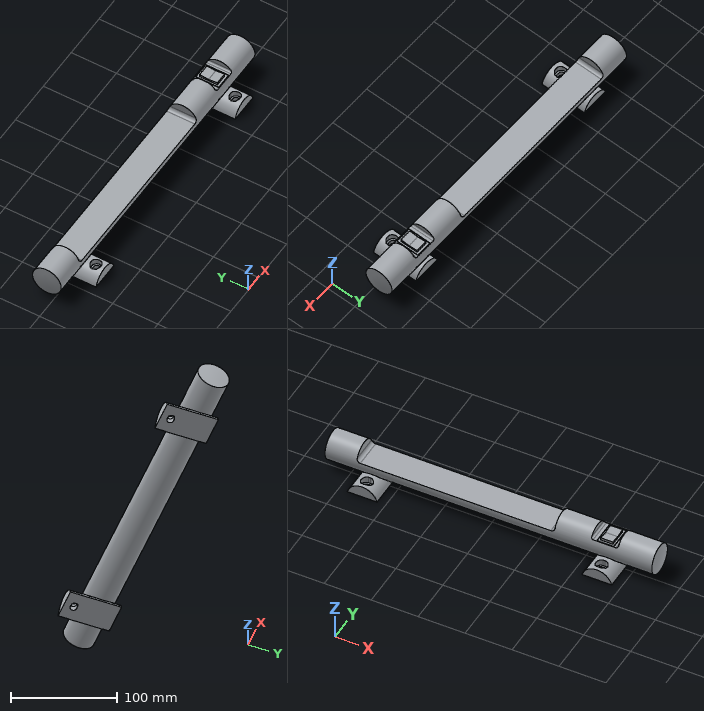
import cadquery as cq

total_length = 351.0
bar_diameter = 32.0
bar_radius = bar_diameter / 2
dome_rise = 1.5
bar_clearance = 4.2
bar_axis_z = bar_clearance + bar_radius

foot_width = 32.0
foot_height = 12.5
foot_front_y = -34.0
foot_length = 52.0
foot_inset = 50.5
foot_positions = (foot_inset, total_length - foot_inset)

slot_y = -24.2
slot_length = 8.8
slot_width = 6.3
counterbore_length = 12.5
counterbore_width = 10.5
counterbore_floor_z = 5.5

flat_start_x = 35.0
flat_end_x = 245.7
flat_z = 23.0
flat_fillet = 4.0

pocket_start_x = 283.5
pocket_end_x = 312.0
pocket_z = 28.5
pocket_fillet = 2.0
recess_length = 18.0
recess_width = 25.5
recess_depth = 0.7
rocker_length = 13.0
rocker_width = 19.5
rocker_end_z = 30.5
rocker_middle_z = 29.5
rocker_center_x = 298.5


def make_bar():
    """Round bar with a shallow dome on each end."""
    straight_end_x = total_length - dome_rise
    dome_radius = (bar_radius**2 + dome_rise**2) / (2 * dome_rise)
    mid_radius = bar_radius / 2
    mid_rise = (dome_radius**2 - mid_radius**2) ** 0.5 - (dome_radius - dome_rise)
    return (
        cq.Workplane("XZ")
        .moveTo(0, 0)
        .threePointArc((dome_rise - mid_rise, mid_radius), (dome_rise, bar_radius))
        .lineTo(straight_end_x, bar_radius)
        .threePointArc((straight_end_x + mid_rise, mid_radius), (total_length, 0))
        .close()
        .revolve(360, (0, 0, 0), (1, 0, 0))
        .translate((0, 0, bar_axis_z))
    )


def make_cross_cut(start_x, end_x, floor_z, fillet):
    """Cutter removing the top of the bar, with rounded corners along its floor."""
    return (
        cq.Workplane("XY", origin=((start_x + end_x) / 2, 0, floor_z))
        .rect(end_x - start_x, 2 * bar_diameter)
        .extrude(bar_diameter)
        .edges("<Z and |Y")
        .fillet(fillet)
    )


def make_foot(center_x):
    """Foot with an arched section running across the bar."""
    return (
        cq.Workplane("XZ", origin=(center_x, foot_front_y, 0))
        .moveTo(-foot_width / 2, 0)
        .threePointArc((0, foot_height), (foot_width / 2, 0))
        .close()
        .extrude(-foot_length)
    )


def make_foot_slot(center_x):
    """Cutter for an elongated mounting hole with a counterbore above it."""
    through = (
        cq.Workplane("XY", origin=(center_x, slot_y, 0))
        .slot2D(slot_length, slot_width)
        .extrude(foot_height)
    )
    counterbore = (
        cq.Workplane("XY", origin=(center_x, slot_y, counterbore_floor_z))
        .slot2D(counterbore_length, counterbore_width)
        .extrude(foot_height)
    )
    return through.union(counterbore)


def make_switch_recess():
    """Cutter for the shallow recess around the rocker."""
    return (
        cq.Workplane("XY", origin=(rocker_center_x, 0, pocket_z - recess_depth))
        .rect(recess_length, recess_width)
        .extrude(recess_depth)
    )


def make_rocker():
    """Rocker with a shallow V-shaped top, rooted inside the bar."""
    half_width = rocker_width / 2
    return (
        cq.Workplane("YZ", origin=(rocker_center_x - rocker_length / 2, 0, 0))
        .polyline([
            (-half_width, bar_axis_z),
            (half_width, bar_axis_z),
            (half_width, rocker_end_z),
            (0, rocker_middle_z),
            (-half_width, rocker_end_z),
        ])
        .close()
        .extrude(rocker_length)
    )


result = make_bar()
for foot_x in foot_positions:
    result = result.union(make_foot(foot_x))
result = result.cut(make_cross_cut(flat_start_x, flat_end_x, flat_z, flat_fillet))
result = result.cut(make_cross_cut(pocket_start_x, pocket_end_x, pocket_z, pocket_fillet))
result = result.cut(make_switch_recess())
result = result.union(make_rocker())
for foot_x in foot_positions:
    result = result.cut(make_foot_slot(foot_x))